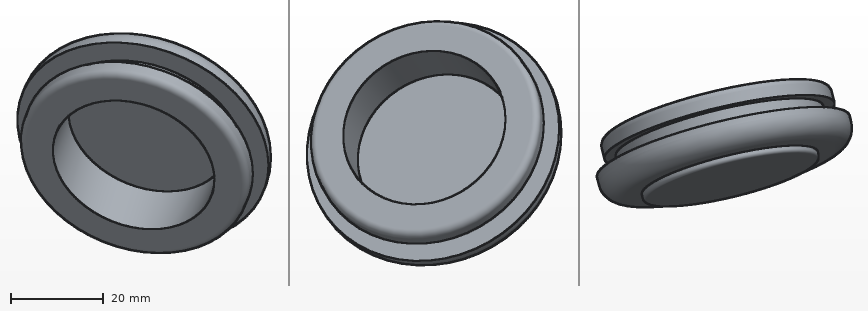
import cadquery as cq

lip_length = 4.0
groove_length = 3.5
flange_length = 6.0
pad_length = 1.5
recess_depth = 12.7

lip_diameter = 51.0
groove_diameter = 46.0
flange_diameter = 56.0
pad_diameter = 39.0
recess_diameter = 36.0

lip_fillet = 1.5
flange_fillet = 4.5
pad_fillet = 0.75

groove_start = lip_length
flange_start = groove_start + groove_length
pad_start = flange_start + flange_length


def disc(diameter, start, length):
    """Solid disc around the Y axis, running from start towards +Y."""
    plane = cq.Workplane("XZ", origin=(0, start, 0))
    return plane.circle(diameter / 2).extrude(-length)


lip = disc(lip_diameter, 0, lip_length).faces("<Y").edges().fillet(lip_fillet)

groove = disc(groove_diameter, groove_start, groove_length)

flange = disc(flange_diameter, flange_start, flange_length).faces(">Y").edges().fillet(flange_fillet)

pad = disc(pad_diameter, pad_start, pad_length).faces(">Y").edges().fillet(pad_fillet)

recess = disc(recess_diameter, 0, recess_depth)

result = lip.union(groove).union(flange).union(pad).cut(recess)